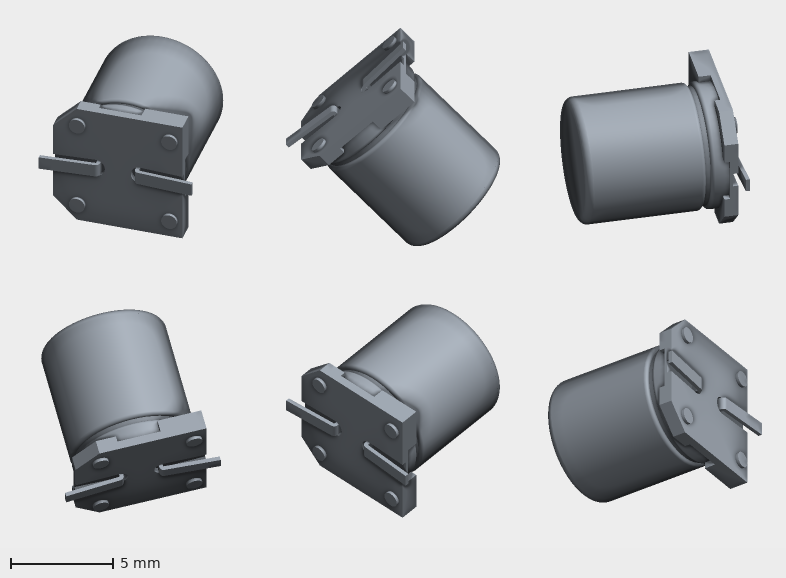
import cadquery as cq
import math


can_radius = 3.15
can_end_y = 7.55
can_end_fillet = 0.38
groove_start_y = 1.3
groove_end_y = 1.55
lip_radius = 0.19
groove_radius = can_radius - lip_radius

mark_edge_x = 1.34
mark_start_y = can_end_y - can_end_fillet

base_width = 6.6
base_half = base_width / 2
base_chamfer = 1.2
floor_y = 0.41
low_corner_y = 0.7
tall_corner_y = 1.01
side_gap_width = 2.18

foot_radius = 0.4
foot_height = 0.16
foot_spacing = 4.71
foot_center_x = 0.3

lead_tip_x = 3.9
lead_width = 0.67
lead_thickness = 0.2
lead_tip_y = can_end_y - 8.0
lead_slope = math.radians(3.6)
leg_inner_x = 0.9
bend_inner_radius = 0.02
bend_outer_radius = bend_inner_radius + lead_thickness
recess_depth = 0.26
recess_end_radius = 0.46
recess_end_x = 1.13
recess_mouth_width = 0.73


def cylinder_along_y(radius, start_y, end_y):
    """Cylinder on the Y axis between two heights."""
    return cq.Workplane("XZ", origin=(0, start_y, 0)).circle(radius).extrude(start_y - end_y)


def box_along_y(width_x, width_z, start_y, end_y):
    """Box centred on the Y axis between two heights."""
    return cq.Workplane("XZ", origin=(0, start_y, 0)).rect(width_x, width_z).extrude(start_y - end_y)


def make_whole_can():
    """Revolved can with a rounded end and a groove between two rounded lips."""
    lip_mid = lip_radius * (1 - math.sqrt(0.5))
    end_mid = can_end_fillet * (1 - math.sqrt(0.5))
    return (
        cq.Workplane("XY")
        .moveTo(0, floor_y)
        .lineTo(can_radius, floor_y)
        .lineTo(can_radius, groove_start_y - lip_radius)
        .threePointArc((can_radius - lip_mid, groove_start_y - lip_mid), (groove_radius, groove_start_y))
        .lineTo(groove_radius, groove_end_y)
        .threePointArc((can_radius - lip_mid, groove_end_y + lip_mid), (can_radius, groove_end_y + lip_radius))
        .lineTo(can_radius, mark_start_y)
        .threePointArc((can_radius - end_mid, can_end_y - end_mid), (can_radius - can_end_fillet, can_end_y))
        .lineTo(0, can_end_y)
        .close()
        .revolve(360, (0, 0, 0), (0, 1, 0))
    )


def make_mark_region():
    """Block that bounds the polarity mark within the can's end."""
    length_x = can_radius - mark_edge_x
    return box_along_y(length_x, 2 * can_radius, mark_start_y, can_end_y).translate(
        (mark_edge_x + length_x / 2, 0, 0)
    )


def make_recess():
    """Tapered, round-ended recess around the +X lead."""
    half_mouth = recess_mouth_width / 2
    return (
        cq.Workplane("XZ")
        .moveTo(base_half, -half_mouth)
        .lineTo(recess_end_x, -recess_end_radius)
        .threePointArc((recess_end_x - recess_end_radius, 0), (recess_end_x, recess_end_radius))
        .lineTo(base_half, half_mouth)
        .close()
        .extrude(-recess_depth)
    )


def make_base():
    """Plate with four corner posts around the can, two chamfered corners, feet and lead recesses."""
    base = box_along_y(base_width, base_width, 0, tall_corner_y)
    base = base.edges("|Y and <X").chamfer(base_chamfer)

    low_side = box_along_y(base_half, base_width, low_corner_y, tall_corner_y)
    base = base.cut(low_side.translate((-base_half / 2, 0, 0)))

    base = base.cut(cylinder_along_y(can_radius, floor_y, tall_corner_y))
    base = base.cut(box_along_y(base_width, side_gap_width, floor_y, tall_corner_y))
    base = base.cut(box_along_y(side_gap_width, base_width, floor_y, tall_corner_y))

    feet = (
        cq.Workplane("XZ")
        .center(foot_center_x, 0)
        .rect(foot_spacing, foot_spacing, forConstruction=True)
        .vertices()
        .circle(foot_radius)
        .extrude(foot_height)
    )
    base = base.union(feet)

    recess = make_recess()
    return base.cut(recess).cut(recess.mirror("YZ"))


def make_lead():
    """The +X lead: a leg down from the recess floor, bent into a sloping strip."""
    leg_outer_x = leg_inner_x + lead_thickness
    strip_height = lead_thickness / math.cos(lead_slope)
    outer_bend_y = lead_tip_y + (lead_tip_x - leg_inner_x) * math.tan(lead_slope)
    inner_bend_y = lead_tip_y + strip_height + (lead_tip_x - leg_outer_x) * math.tan(lead_slope)
    lead = (
        cq.Workplane("XY", origin=(0, 0, -lead_width / 2))
        .moveTo(leg_inner_x, recess_depth)
        .lineTo(leg_inner_x, outer_bend_y)
        .lineTo(lead_tip_x, lead_tip_y)
        .lineTo(lead_tip_x, lead_tip_y + strip_height)
        .lineTo(leg_outer_x, inner_bend_y)
        .lineTo(leg_outer_x, recess_depth)
        .close()
        .extrude(lead_width)
    )
    lead = lead.edges(cq.NearestToPointSelector((leg_inner_x, outer_bend_y, 0))).fillet(bend_outer_radius)
    return lead.edges(cq.NearestToPointSelector((leg_outer_x, inner_bend_y, 0))).fillet(bend_inner_radius)


whole_can = make_whole_can()
mark_region = make_mark_region()
can = whole_can.cut(mark_region)
polarity_mark = whole_can.intersect(mark_region)

base = make_base()

leads = []
for angle in (0, 180):
    leads.append(make_lead().rotate((0, 0, 0), (0, 1, 0), angle).val())

result = cq.Compound.makeCompound([can.val(), polarity_mark.val(), base.val(), *leads])